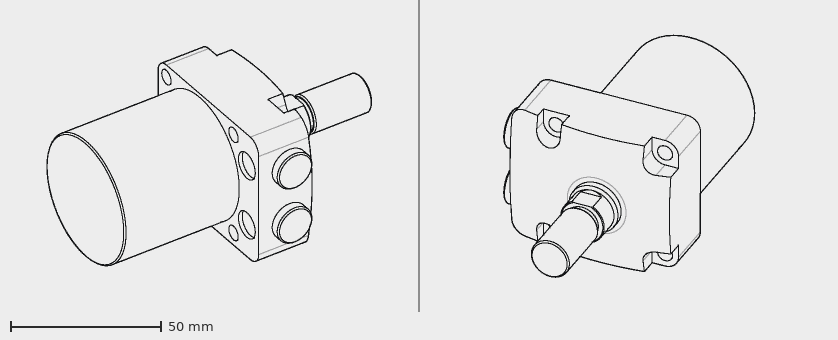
import cadquery as cq
import math


flange_size = 50.0
half_size = flange_size / 2
port_side = 35.0
flange_length = half_size + port_side
corner_radius = 5.0

crown_height = 28.0
crown_radius = 10.8
slope_angle = 15.0

barrel_diameter = 47.0
barrel_length = 46.0
edge_chamfer = 0.5

bolt_offset = 20.0
bolt_diameter = 5.5
pocket_diameter = 9.5
pocket_floor = 17.0

recess_diameter = 10.1
recess_depth = 1.5
recess_x = 28.0
recess_z = 12.0

plug_diameter = 13.9
plug_length = 3.5
plug_y = 12.4
plug_z = 11.0

overall_length = 110.5
rod_length = overall_length - barrel_length - crown_height
rod_diameter = 14.0
neck_diameter = 12.0
shank_diameter = 16.0
collar_diameter = 18.0
collar_height = 2.4
shank_top = 11.4
shank_chamfer = 0.3
neck_top = 13.5
flats_width = 14.0


def along_y(y):
    """Workplane facing +Y at height y; its local axes are -X and Z."""
    return cq.Workplane("XZ", origin=(0, y, 0)).transformed(rotate=(0, 180, 0))


def disc(x, y, z, diameter, length):
    """Cylinder along +Y whose lower face is centred on (x, y, z)."""
    return along_y(y).center(-x, z).circle(diameter / 2).extrude(length)


def make_sloped_block():
    """Rounded block whose top is cut by a cone around the axis."""
    center_x = (port_side - half_size) / 2
    block = along_y(0).center(-center_x, 0).rect(flange_length, flange_size).extrude(crown_height)
    block = block.edges("|Y").fillet(corner_radius)

    cone_radius = math.hypot(port_side, half_size)
    cone_drop = (cone_radius - crown_radius) * math.tan(math.radians(slope_angle))
    cone_profile = [
        (0, 0),
        (cone_radius, 0),
        (cone_radius, crown_height - cone_drop),
        (crown_radius, crown_height),
        (0, crown_height),
    ]
    cone = cq.Workplane("XY").polyline(cone_profile).close().revolve(360, (0, 0), (0, 1))
    return block.intersect(cone)


def make_pocket(side_x, side_z):
    """Screw-head pocket: open to the near Z side, and at -X also to the end of the flange."""
    x = side_x * bolt_offset
    z = side_z * bolt_offset
    pocket_height = crown_height - pocket_floor
    mid_y = pocket_floor + pocket_height / 2
    pocket = disc(x, pocket_floor, z, pocket_diameter, pocket_height)
    slot = cq.Workplane("XY").box(pocket_diameter, pocket_height, pocket_diameter)
    pocket = pocket.union(slot.translate((x, mid_y, z + side_z * pocket_diameter / 2)))
    if side_x < 0:
        pocket = pocket.union(slot.translate((x - pocket_diameter / 2, mid_y, z)))
        corner = slot.translate((x - pocket_diameter / 2, mid_y, z + side_z * pocket_diameter / 2))
        pocket = pocket.union(corner)
    return pocket


def make_housing():
    barrel = disc(0, -barrel_length, 0, barrel_diameter, barrel_length)
    barrel = barrel.faces("<Y").edges().chamfer(edge_chamfer)
    body = make_sloped_block().union(barrel)
    for side_z in (-1, 1):
        for side_x in (-1, 1):
            bolt_hole = disc(side_x * bolt_offset, 0, side_z * bolt_offset, bolt_diameter, crown_height)
            body = body.cut(bolt_hole).cut(make_pocket(side_x, side_z))
        body = body.cut(disc(recess_x, 0, side_z * recess_z, recess_diameter, recess_depth))
    return body


def make_rod():
    """Turned rod standing on the crown, with two wrench flats on its shank."""
    collar_radius = collar_diameter / 2
    shank_radius = shank_diameter / 2
    neck_radius = neck_diameter / 2
    rod_radius = rod_diameter / 2
    shank_bottom = collar_height + collar_radius - shank_radius
    rod_profile = [
        (0, 0),
        (collar_radius, 0),
        (collar_radius, collar_height),
        (shank_radius, shank_bottom),
        (shank_radius, shank_top - shank_chamfer),
        (shank_radius - shank_chamfer, shank_top),
        (neck_radius, shank_top),
        (neck_radius, neck_top),
        (rod_radius - edge_chamfer, neck_top),
        (rod_radius, neck_top + edge_chamfer),
        (rod_radius, rod_length - edge_chamfer),
        (rod_radius - edge_chamfer, rod_length),
        (0, rod_length),
    ]
    rod = cq.Workplane("XY").polyline(rod_profile).close().revolve(360, (0, 0), (0, 1))

    flat_z = flats_width / 2
    flat_bottom = collar_height + collar_radius - flat_z
    flat_profile = [
        (shank_top, flat_z),
        (flat_bottom, flat_z),
        (collar_height, collar_radius),
        (shank_top, collar_radius),
    ]
    flat = cq.Workplane("YZ").polyline(flat_profile).close().extrude(collar_radius, both=True)
    rod = rod.cut(flat).cut(flat.mirror("XY"))
    return rod.translate((0, crown_height, 0))


def make_plug(z):
    plug = cq.Workplane("YZ", origin=(port_side, plug_y, z)).circle(plug_diameter / 2).extrude(plug_length)
    return plug.faces(">X").edges().chamfer(edge_chamfer)


housing = make_housing()
rod = make_rod()
plugs = [make_plug(side * plug_z) for side in (-1, 1)]

result = cq.Compound.makeCompound([housing.val(), rod.val(), *[plug.val() for plug in plugs]])